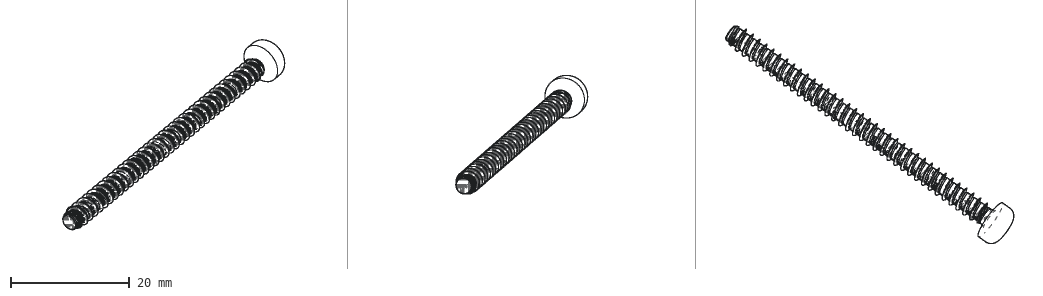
import cadquery as cq
import math

total_length = 58.1
head_diameter = 7.0
head_height = 3.1
head_rounding = 1.5
neck_diameter = 3.0
neck_fillet = 0.7
core_diameter = 2.95
tip_diameter = 2.7
tip_chamfer = 0.2

pitch = 1.46
major_diameter = 4.0
crest_width = 0.045
root_width = 0.45
thread_top = 1.05
top_runout = 0.95
tip_runout = 1.75
start_angle = -86

groove_depth = 0.1
groove_middle = 0.3
groove_reach = 0.6

trim_margin = 0.6

shank_length = total_length - head_height
thread_length = shank_length - thread_top
head_radius = head_diameter / 2
neck_radius = neck_diameter / 2
core_radius = core_diameter / 2
tip_radius = tip_diameter / 2
major_radius = major_diameter / 2


def revolve_about_axis(outline):
    return outline.close().revolve(360, (0, 0, 0), (0, 1, 0))


def make_head_and_neck():
    """Rounded head and filleted neck, down to where the thread begins."""
    arc_offset = math.sqrt(0.5)
    rounding_x = head_radius - head_rounding
    rounding_y = head_height - head_rounding
    fillet_x = neck_radius + neck_fillet
    outline = (
        cq.Workplane("XY")
        .moveTo(0, -thread_top)
        .lineTo(neck_radius, -thread_top)
        .lineTo(neck_radius, -neck_fillet)
        .threePointArc(
            (fillet_x - neck_fillet * arc_offset, neck_fillet * (arc_offset - 1)),
            (fillet_x, 0),
        )
        .lineTo(head_radius, 0)
        .lineTo(head_radius, rounding_y)
        .threePointArc(
            (rounding_x + head_rounding * arc_offset, rounding_y + head_rounding * arc_offset),
            (rounding_x, head_height),
        )
        .lineTo(0, head_height)
    )
    return revolve_about_axis(outline)


def section_point(radius, offset):
    """Cross-section point lying `offset` towards the head from the middle of the ridge."""
    angle = math.radians(start_angle + 360 * offset / pitch)
    return (radius * math.cos(angle), radius * math.sin(angle))


def add_stretch(section, start, end):
    """Extend the cross-section from one (radius, offset) corner to the next.

    A straight line of the thread profile becomes a spiral, or an arc at constant radius."""
    middle = ((start[0] + end[0]) / 2, (start[1] + end[1]) / 2)
    if start[0] == end[0]:
        return section.threePointArc(section_point(*middle), section_point(*end))
    return section.spline([section_point(*middle), section_point(*end)], includeCurrent=True)


def make_full_thread():
    """Core, ridge and groove as one cross-section twisted along the axis."""
    half_crest = crest_width / 2
    half_root = root_width / 2
    profile = [
        (major_radius, -half_crest),
        (major_radius, half_crest),
        (core_radius, half_root),
        (core_radius - groove_depth, groove_middle),
        (core_radius, groove_reach),
        (core_radius, pitch - half_root),
        (major_radius, pitch - half_crest),
    ]
    section = cq.Workplane("XZ", origin=(0, -thread_top, 0)).moveTo(*section_point(*profile[0]))
    for start, end in zip(profile, profile[1:]):
        section = add_stretch(section, start, end)
    return section.close().twistExtrude(thread_length, 360 * thread_length / pitch)


def make_top_trim():
    """Ring whose conical bore fades the thread out below the neck."""
    trim_radius = major_radius + trim_margin
    return revolve_about_axis(
        cq.Workplane("XY").polyline([
            (neck_radius, -thread_top),
            (trim_radius, -thread_top),
            (trim_radius, -thread_top - top_runout),
            (major_radius, -thread_top - top_runout),
        ])
    )


def make_tip_trim():
    """Ring that fades the thread out towards the tip and tapers the tip itself."""
    trim_radius = major_radius + trim_margin
    thread_bottom = shank_length - tip_chamfer
    return revolve_about_axis(
        cq.Workplane("XY").polyline([
            (tip_radius, -shank_length),
            (core_radius, -thread_bottom),
            (major_radius, -thread_bottom + tip_runout),
            (trim_radius, -thread_bottom + tip_runout),
            (trim_radius, -shank_length),
        ])
    )


threaded_shank = make_full_thread().cut(make_top_trim()).cut(make_tip_trim())
result = make_head_and_neck().union(threaded_shank)